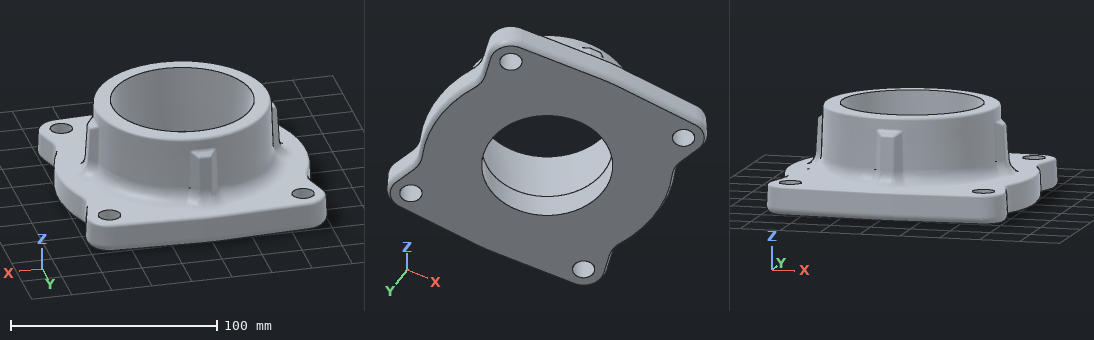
import cadquery as cq
import math

plate_top = 14.4
part_height = 47.6

overall_width = 124.9
hole_offset = 48.3
corner_radius = 11.9
waist_radius = 11.7
waist_center_y = 30.7
crown_radius = 116.1
plate_draft = 2.5
plate_top_round = 1.5
plate_bottom_round = 4.0
plate_trim = 0.7
hole_diameter = 10.7

foot_corner = math.radians(90 - plate_draft)
half_size = overall_width / 2 + plate_bottom_round * (1 / math.tan(foot_corner / 2) - 1)

neck_top_radius = 43.2
neck_draft = 2.0
neck_top_round = 1.5
base_fillet = 7.7

bore_top_radius = 34.8
bore_step_radius = 32.7
bore_lower_radius = 31.7
bore_step_height = 14.1

rib_count = 4
rib_face_half_width = 3.1
rib_back_half_width = 10.1
rib_depth = 7.5
rib_base_reach = 48.2
rib_top_reach = 46.7
rib_face_top = 38.8
rib_roof_top = 41.1
rib_edge_round = 1.5
rib_root_fillet = 1.5

match_tolerance = 0.02


def along(center, radius, angle):
    """Point at the given angle on a circle."""
    return (center[0] + radius * math.cos(angle), center[1] + radius * math.sin(angle))


def plate_outline():
    """Closed outline: shallow front and back crowns, side lobes, waists and round corners."""
    corner = (hole_offset, hole_offset)

    crown = (0.0, half_size - crown_radius)
    crown_gap = math.hypot(corner[0] - crown[0], corner[1] - crown[1])
    crown_bearing = math.atan2(corner[1] - crown[1], corner[0] - crown[0])
    crown_normal = crown_bearing + math.acos((crown_radius - corner_radius) / crown_gap)
    crown_end = along(crown, crown_radius, crown_normal)
    corner_start = along(corner, corner_radius, crown_normal)

    waist_distance = half_size + waist_radius
    lobe_angle = math.asin(waist_center_y / waist_distance)
    waist = along((0.0, 0.0), waist_distance, lobe_angle)

    waist_gap = math.hypot(waist[0] - corner[0], waist[1] - corner[1])
    waist_bearing = math.atan2(waist[1] - corner[1], waist[0] - corner[0])
    side_normal = waist_bearing + math.acos((corner_radius + waist_radius) / waist_gap)
    corner_mid = along(corner, corner_radius, (crown_normal + side_normal) / 2)
    corner_end = along(corner, corner_radius, side_normal)
    waist_start = along(waist, waist_radius, side_normal + math.pi)
    waist_mid = along(waist, waist_radius, math.pi + (side_normal + lobe_angle) / 2)
    lobe_start = along((0.0, 0.0), half_size, lobe_angle)

    def place(point, side_x, side_y):
        return (side_x * point[0], side_y * point[1])

    outline = cq.Workplane("XY", origin=(0, 0, -plate_trim)).moveTo(*place(crown_end, -1, 1))
    for side in (1, -1):
        outline = (
            outline.threePointArc((0, side * half_size), place(crown_end, side, side))
            .lineTo(*place(corner_start, side, side))
            .threePointArc(place(corner_mid, side, side), place(corner_end, side, side))
            .lineTo(*place(waist_start, side, side))
            .threePointArc(place(waist_mid, side, side), place(lobe_start, side, side))
            .threePointArc((side * half_size, 0), place(lobe_start, side, -side))
            .threePointArc(place(waist_mid, side, -side), place(waist_start, side, -side))
            .lineTo(*place(corner_end, side, -side))
            .threePointArc(place(corner_mid, side, -side), place(corner_start, side, -side))
            .lineTo(*place(crown_end, side, -side))
        )
    return outline.close()


def make_plate():
    """Drafted flange with rounded rims; the bottom rounding is cut short by the flat underside."""
    plate = plate_outline().extrude(plate_top + plate_trim, taper=plate_draft)
    plate = plate.faces(">Z").edges().fillet(plate_top_round)
    plate = plate.faces("<Z").edges().fillet(plate_bottom_round)
    trim = cq.Workplane("XY").rect(3 * half_size, 3 * half_size).extrude(-2 * plate_trim)
    return plate.cut(trim)


def neck_radius(height):
    """Neck radius at a height, before its top rim is rounded."""
    return neck_top_radius + (part_height - height) * math.tan(math.radians(neck_draft))


def make_neck():
    """Drafted solid neck with a rounded top rim, starting inside the plate."""
    foot = plate_top / 2
    neck = (
        cq.Workplane("XZ")
        .moveTo(0, foot)
        .lineTo(neck_radius(foot), foot)
        .lineTo(neck_top_radius, part_height)
        .lineTo(0, part_height)
        .close()
        .revolve(360, (0, 0, 0), (0, 1, 0))
    )
    neck = neck.rotate((0, 0, 0), (0, 0, 1), 180 / rib_count)
    return neck.faces(">Z").edges().fillet(neck_top_round)


def make_rib():
    """Rib on the +X side: a leaning prism with slanting flanks and a sloping roof."""
    lean = (rib_base_reach - rib_top_reach) / (rib_face_top - plate_top)
    foot = plate_top / 2
    rise = part_height - foot
    face_x = rib_base_reach + lean * (plate_top - foot)
    back_x = face_x - rib_depth
    section = [
        cq.Vector(back_x, rib_back_half_width, foot),
        cq.Vector(face_x, rib_face_half_width, foot),
        cq.Vector(face_x, -rib_face_half_width, foot),
        cq.Vector(back_x, -rib_back_half_width, foot),
    ]
    wire = cq.Wire.makePolygon(section, close=True)
    rib = cq.Workplane(cq.Solid.extrudeLinear(wire, [], cq.Vector(-lean * rise, 0, rise)))

    roof_slope = (rib_roof_top - rib_face_top) / (rib_top_reach - neck_top_radius)
    roof_inner = rib_top_reach - rib_depth
    roof_outer = rib_base_reach
    roof_cut = (
        cq.Workplane("XZ")
        .moveTo(roof_inner, rib_face_top + roof_slope * (rib_top_reach - roof_inner))
        .lineTo(roof_outer, rib_face_top + roof_slope * (rib_top_reach - roof_outer))
        .lineTo(roof_outer, 2 * part_height)
        .lineTo(roof_inner, 2 * part_height)
        .close()
        .extrude(2 * rib_back_half_width, both=True)
    )
    rib = rib.cut(roof_cut)

    exposed_start = rib_top_reach - 0.75 * rib_depth
    exposed = cq.selectors.BoxSelector(
        (exposed_start, -rib_back_half_width, plate_top),
        (face_x, rib_back_half_width, part_height),
    )
    return rib.edges(exposed).fillet(rib_edge_round)


def is_rib_root(edge):
    """True for an edge that lies on the neck's drafted side and is not one of its rims."""
    points = [edge.positionAt(fraction) for fraction in (0, 0.5, 1)]
    on_side = all(abs(math.hypot(p.x, p.y) - neck_radius(p.z)) < match_tolerance for p in points)
    return on_side and edge.geomType() not in ("CIRCLE", "LINE")


def is_neck_foot(edge):
    """True for an edge where the neck or a rib meets the top of the plate."""
    box = edge.BoundingBox()
    is_level = abs(box.zmin - plate_top) < match_tolerance and abs(box.zmax - plate_top) < match_tolerance
    middle = edge.positionAt(0.5)
    return is_level and math.hypot(middle.x, middle.y) < rib_base_reach + match_tolerance


def make_body():
    """Plate and ribbed neck joined by one fillet that follows the neck and ribs."""
    neck = make_neck()
    rib = make_rib()
    for index in range(rib_count):
        neck = neck.union(rib.rotate((0, 0, 0), (0, 0, 1), index * 360 / rib_count))
    neck = neck.clean()
    neck = neck.newObject([e for e in neck.edges().vals() if is_rib_root(e)]).fillet(rib_root_fillet)
    body = make_plate().union(neck)
    return body.newObject([e for e in body.edges().vals() if is_neck_foot(e)]).fillet(base_fillet)


def cut_bore(body):
    """Tapered upper bore standing on a flat step, with a smaller straight bore below."""
    bore = (
        cq.Workplane("XZ")
        .polyline(
            [
                (0, 0),
                (bore_lower_radius, 0),
                (bore_lower_radius, bore_step_height),
                (bore_step_radius, bore_step_height),
                (bore_top_radius, part_height),
                (0, part_height),
            ]
        )
        .close()
        .revolve(360, (0, 0, 0), (0, 1, 0))
    )
    return body.cut(bore)


def cut_bolt_holes(body):
    """Through holes concentric with the rounded plate corners."""
    holes = (
        cq.Workplane("XY")
        .rect(2 * hole_offset, 2 * hole_offset, forConstruction=True)
        .vertices()
        .circle(hole_diameter / 2)
        .extrude(plate_top)
    )
    return body.cut(holes)


result = cut_bolt_holes(cut_bore(make_body()))